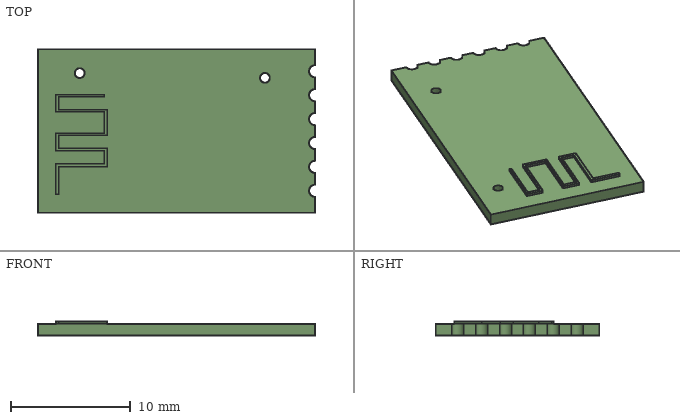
import cadquery as cq

board_length = 23.2
board_width = 13.7
board_thickness = 1.0

hole_diameter = 0.8
hole_centers = [(3.5, 11.7), (19.0, 11.3)]

notch_diameter = 1.0
notch_pitch = 2.0
notch_count = 6

trace_height = 0.2
thin_width = 0.17
wide_width = 0.25
trace_left = 1.5
trace_length = 4.3
trace_right = trace_left + trace_length
trace_bottom = 1.55
trace_top = 9.9
narrow_gap = 1.1
wide_gap = 1.8


def make_board():
    return cq.Workplane("XY").box(board_length, board_width, board_thickness, centered=False)


def make_holes():
    return (
        cq.Workplane("XY")
        .pushPoints(hole_centers)
        .circle(hole_diameter / 2)
        .extrude(board_thickness)
    )


def make_notches():
    first_y = (board_width - (notch_count - 1) * notch_pitch) / 2
    centers = [(board_length, first_y + i * notch_pitch) for i in range(notch_count)]
    return cq.Workplane("XY").pushPoints(centers).circle(notch_diameter / 2).extrude(board_thickness)


def make_trace():
    inner_left = trace_left + wide_width
    inner_right = trace_right - wide_width

    bar1_top = trace_top
    bar1_low = bar1_top - thin_width
    bar2_top = bar1_low - narrow_gap
    bar2_low = bar2_top - thin_width
    bar3_top = bar2_low - wide_gap
    bar3_low = bar3_top - thin_width
    bar4_top = bar3_low - narrow_gap
    bar4_low = bar4_top - thin_width
    bar5_top = bar4_low - narrow_gap
    bar5_low = bar5_top - wide_width

    outline = [
        (trace_left, trace_bottom),
        (trace_left, bar5_top),
        (inner_right, bar5_top),
        (inner_right, bar4_low),
        (trace_left, bar4_low),
        (trace_left, bar3_top),
        (inner_right, bar3_top),
        (inner_right, bar2_low),
        (trace_left, bar2_low),
        (trace_left, bar1_top),
        (inner_right, bar1_top),
        (inner_right, bar1_low),
        (inner_left, bar1_low),
        (inner_left, bar2_top),
        (trace_right, bar2_top),
        (trace_right, bar3_low),
        (inner_left, bar3_low),
        (inner_left, bar4_top),
        (trace_right, bar4_top),
        (trace_right, bar5_low),
        (inner_left, bar5_low),
        (inner_left, trace_bottom),
    ]
    return (
        cq.Workplane("XY")
        .workplane(offset=board_thickness)
        .polyline(outline)
        .close()
        .extrude(trace_height)
    )


result = make_board().cut(make_holes()).cut(make_notches()).union(make_trace())